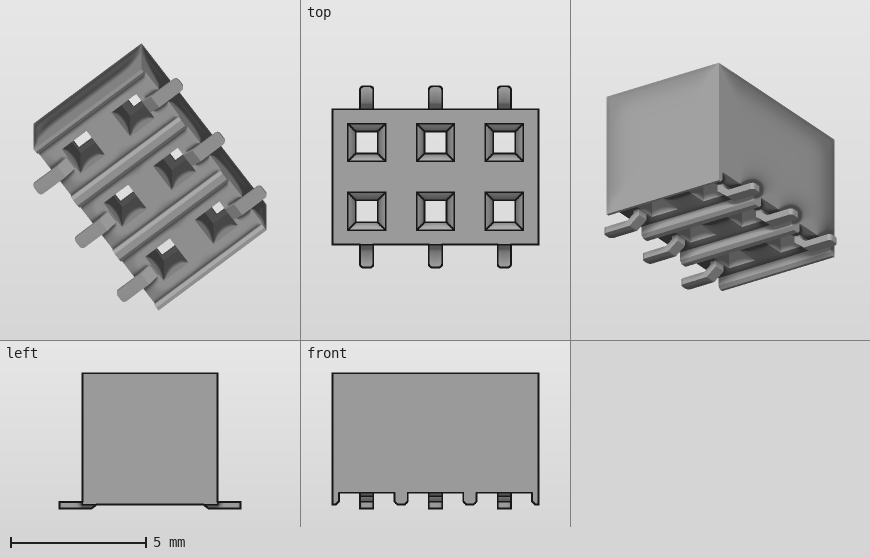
import cadquery as cq
import math

LENGTH = 7.62
DEPTH = 5.0
TOP_Z = 5.0
COLUMNS = 3
ROWS = 2
PITCH = LENGTH / COLUMNS
FOOT_BOTTOM_Z = 0.145
GAP_TOP_Z = 0.58
FOOT_WIDTH = 0.5
FOOT_CHAMFER = 0.12

SOCKET_SIDE = 0.8
MOUTH_SIDE = 1.4
MOUTH_DEPTH = 0.3
NECK_BOTTOM_DEPTH = 0.6

CAVITY_SIDE = 1.14
CAVITY_OFFSET = 0.12

TIP_SPAN = 6.7
LEAD_WIDTH = 0.5
LEAD_THICKNESS = 0.25
TIP_RADIUS = 0.145
RAMP_ANGLE = math.radians(38)
RAMP_START_INSET = 0.25
RAMP_TOP_Z = 0.45

column_xs = [(column - (COLUMNS - 1) / 2) * PITCH for column in range(COLUMNS)]
row_ys = [(row - (ROWS - 1) / 2) * PITCH for row in range(ROWS)]


def box(width, depth, bottom_z, top_z):
    """Box centred on the Z axis between two heights."""
    return cq.Workplane("XY").workplane(offset=bottom_z).rect(width, depth).extrude(top_z - bottom_z)


def make_gap():
    """Front-to-back underside gap whose lower corners flare out between the feet."""
    half_width = (PITCH - FOOT_WIDTH) / 2
    half_mouth = half_width + FOOT_CHAMFER
    flare_z = FOOT_BOTTOM_Z + FOOT_CHAMFER
    outline = [
        (-half_mouth, FOOT_BOTTOM_Z),
        (-half_width, flare_z),
        (-half_width, GAP_TOP_Z),
        (half_width, GAP_TOP_Z),
        (half_width, flare_z),
        (half_mouth, FOOT_BOTTOM_Z),
    ]
    return cq.Workplane("XZ").polyline(outline).close().extrude(DEPTH / 2, both=True)


def make_socket(cavity_offset):
    """Square through hole with a funnel mouth, a narrow neck and a wider cavity below it."""
    neck_bottom_z = TOP_Z - NECK_BOTTOM_DEPTH
    neck = box(SOCKET_SIDE, SOCKET_SIDE, neck_bottom_z, TOP_Z)
    cavity = box(CAVITY_SIDE, CAVITY_SIDE, FOOT_BOTTOM_Z, neck_bottom_z).translate((0, cavity_offset, 0))
    funnel = (
        cq.Workplane("XY")
        .workplane(offset=TOP_Z - MOUTH_DEPTH)
        .rect(SOCKET_SIDE, SOCKET_SIDE)
        .workplane(offset=MOUTH_DEPTH)
        .rect(MOUTH_SIDE, MOUTH_SIDE)
        .loft(ruled=True)
    )
    return neck.union(cavity).union(funnel)


def make_housing():
    """Block standing on feet, with one socket per contact."""
    housing = box(LENGTH, DEPTH, FOOT_BOTTOM_Z, TOP_Z)
    for x in column_xs:
        housing = housing.cut(make_gap().translate((x, 0, 0)))
        for y in row_ys:
            inward_offset = -math.copysign(CAVITY_OFFSET, y)
            housing = housing.cut(make_socket(inward_offset).translate((x, y, 0)))
    return housing


def make_lead():
    """Front lead: flat tip, ramp, then an upright stub that ends in the housing."""
    tip_y = -TIP_SPAN / 2
    ramp_start_y = -DEPTH / 2 + RAMP_START_INSET
    outer_y = ramp_start_y + (RAMP_TOP_Z - LEAD_THICKNESS) / math.tan(RAMP_ANGLE)
    inner_y = outer_y + LEAD_THICKNESS
    lower_ramp_y = ramp_start_y + LEAD_THICKNESS * math.tan(RAMP_ANGLE / 2)
    lower_ramp_top_z = (inner_y - lower_ramp_y) * math.tan(RAMP_ANGLE)
    stub_top_z = GAP_TOP_Z + LEAD_THICKNESS
    outline = [
        (tip_y, 0),
        (lower_ramp_y, 0),
        (inner_y, lower_ramp_top_z),
        (inner_y, stub_top_z),
        (outer_y, stub_top_z),
        (outer_y, RAMP_TOP_Z),
        (ramp_start_y, LEAD_THICKNESS),
        (tip_y, LEAD_THICKNESS),
    ]
    lead = cq.Workplane("YZ").polyline(outline).close().extrude(LEAD_WIDTH / 2, both=True)
    return lead.faces("<Y").edges("|Z").fillet(TIP_RADIUS)


result = make_housing()
lead = make_lead()
for x in column_xs:
    front_lead = lead.translate((x, 0, 0))
    result = result.union(front_lead).union(front_lead.mirror("XZ"))